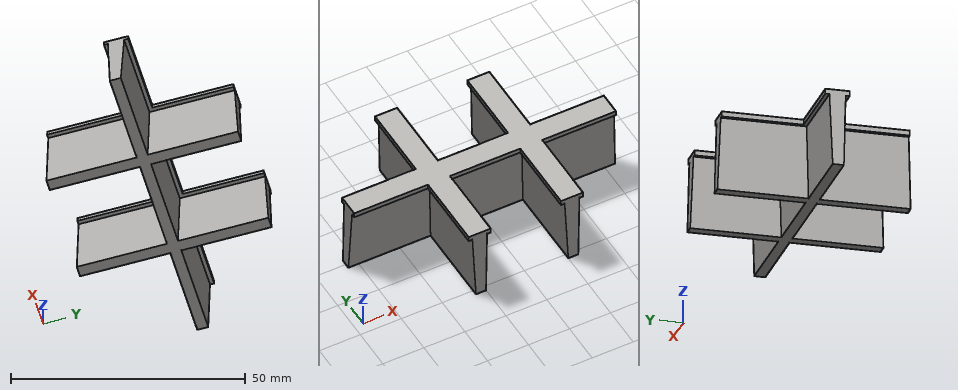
import cadquery as cq
import math

base_length = 65.05
base_depth = 42.75
height = 17.5

cap_width = 5.4
cap_thickness = 1.2
web_base_width = 2.5
cross_wall_spacing = 22.5
draft_angle = 2.0

draft_slope = math.tan(math.radians(draft_angle))
web_height = height - cap_thickness
web_top_width = web_base_width + 2 * web_height * draft_slope
end_inset = height * draft_slope


def wall(base_span):
    """T-section wall along X, centred on the origin, with end faces leaning inward toward the top."""
    section = (
        cq.Workplane("YZ")
        .moveTo(-web_base_width / 2, 0)
        .lineTo(web_base_width / 2, 0)
        .lineTo(web_top_width / 2, web_height)
        .lineTo(cap_width / 2, web_height)
        .lineTo(cap_width / 2, height)
        .lineTo(-cap_width / 2, height)
        .lineTo(-cap_width / 2, web_height)
        .lineTo(-web_top_width / 2, web_height)
        .close()
        .extrude(base_span / 2, both=True)
    )
    side_profile = (
        cq.Workplane("XZ")
        .moveTo(-base_span / 2, 0)
        .lineTo(base_span / 2, 0)
        .lineTo(base_span / 2 - end_inset, height)
        .lineTo(-base_span / 2 + end_inset, height)
        .close()
        .extrude(cap_width, both=True)
    )
    return section.intersect(side_profile)


result = wall(base_length)
cross_wall = wall(base_depth).rotate((0, 0, 0), (0, 0, 1), 90)
for side in (-1, 1):
    result = result.union(cross_wall.translate((side * cross_wall_spacing / 2, 0, 0)))

result = result.clean()